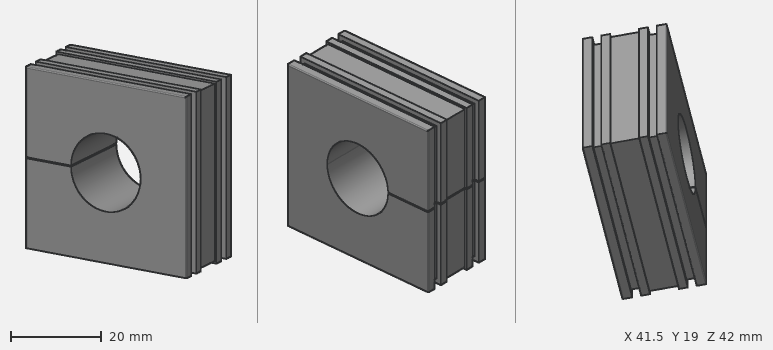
import cadquery as cq

width = 41.5
depth = 19.0
height = 42.0
rim_fillet = 0.25

flange_thickness = 2.25
groove_width = 2.0
rib_thickness = 2.0
groove_depth = 1.25
waist_depth = 0.5

bore_diameter = 18.0
slit_width = 0.3

half_depth = depth / 2
groove_outer_y = half_depth - flange_thickness
rib_outer_y = groove_outer_y - groove_width
waist_half_length = rib_outer_y - rib_thickness


def make_block():
    """Full-size block with rounded rims on the two end faces."""
    block = cq.Workplane("XY").box(width, depth, height)
    return block.faces("<Y or >Y").edges().fillet(rim_fillet)


def make_band_cutter(y_start, y_end, cut_depth):
    """Rectangular ring that lowers the outside by cut_depth between two Y positions."""
    length = y_end - y_start
    outer = cq.Workplane("XY").box(width, length, height)
    core = cq.Workplane("XY").box(width - 2 * cut_depth, length, height - 2 * cut_depth)
    return outer.cut(core).translate((0, (y_start + y_end) / 2, 0))


def make_bore():
    """Cylinder through the whole depth, centred on the block."""
    return cq.Workplane("XZ").circle(bore_diameter / 2).extrude(half_depth, both=True)


def make_slit():
    """Thin slab from the -X side to the bore axis."""
    slab = cq.Workplane("XY").box(width / 2, depth, slit_width)
    return slab.translate((-width / 4, 0, 0))


result = make_block()
result = result.cut(make_band_cutter(rib_outer_y, groove_outer_y, groove_depth))
result = result.cut(make_band_cutter(-groove_outer_y, -rib_outer_y, groove_depth))
result = result.cut(make_band_cutter(-waist_half_length, waist_half_length, waist_depth))
result = result.cut(make_bore())
result = result.cut(make_slit())